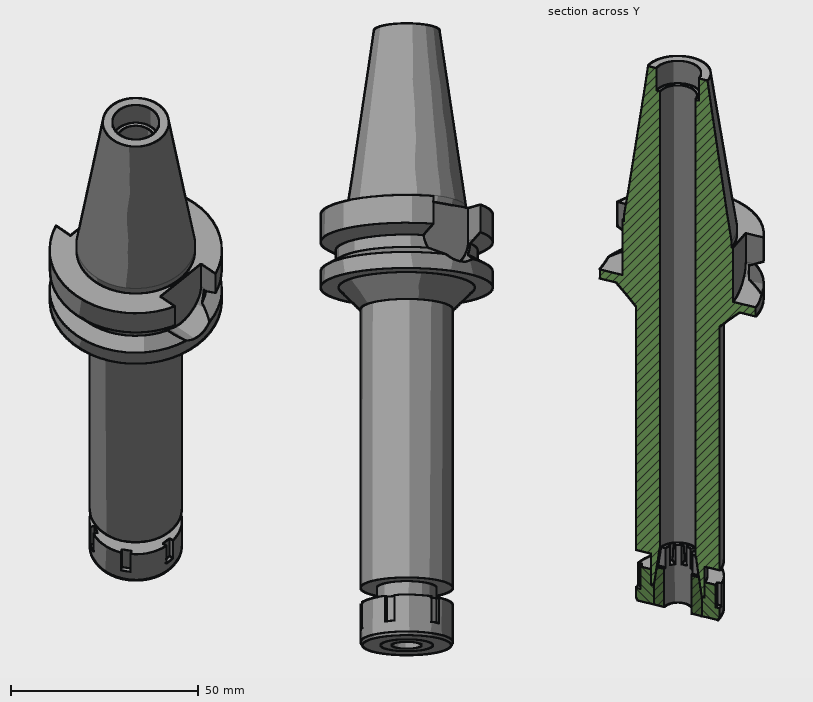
import cadquery as cq
import math


gauge_diameter = 31.75
taper_length = 48.4
taper_ratio = 7 / 24
taper_top_diameter = gauge_diameter - taper_ratio * taper_length

flange_diameter = 46.0
flange_top = -2.0
groove_diameter = 38.0
groove_upper_edge = -9.6
groove_floor_top = -11.9
groove_floor_bottom = -15.3
groove_lower_edge = -17.6
flange_bottom = -22.0

notch_width = 16.0
notch_floor_offset = 16.3
notch_bottom = -19.0

cone_top_diameter = 36.4
cone_bottom = -28.0
body_diameter = 24.7
body_bottom = -104.3
nose_diameter = 16.0
nose_bottom = -114.0

counterbore_diameter = 12.5
counterbore_depth = 7.0
through_bore_diameter = 10.3

collet_angle = 8.0
collet_front_diameter = 14.0
collet_rear_diameter = 10.6
collet_bore_diameter = 8.0
collet_slot_count = 8
collet_slot_width = 1.5
collet_slot_depth = 6.0
collet_cone_length = (collet_front_diameter - collet_rear_diameter) / 2 / math.tan(math.radians(collet_angle))
collet_rear = nose_bottom + collet_cone_length

nut_diameter = body_diameter
nut_top = -109.0
nut_bottom = -120.0
nut_chamfer_width = 0.5
nut_chamfer_height = 0.9
wrench_slot_count = 6
wrench_slot_width = 2.6
wrench_slot_depth = 1.25
wrench_slot_length = 7.0


def revolve(points):
    """Turn a closed outline of (diameter, Z) points about the Z axis."""
    outline = [(diameter / 2, z) for diameter, z in points]
    return cq.Workplane("YZ").polyline(outline).close().revolve(360, (0, 0), (0, 1))


def notch_cutter():
    """Round-bottomed key notch on the +X side of the flange."""
    radius = notch_width / 2
    arc_center = notch_bottom + radius
    return (
        cq.Workplane("YZ", origin=(notch_floor_offset, 0, 0))
        .moveTo(-radius, flange_top)
        .lineTo(-radius, arc_center)
        .threePointArc((0, notch_bottom), (radius, arc_center))
        .lineTo(radius, flange_top)
        .close()
        .extrude(flange_diameter / 2)
    )


def make_holder():
    counterbore_bottom = taper_length - counterbore_depth
    holder = revolve([
        (taper_top_diameter, taper_length),
        (gauge_diameter, 0),
        (gauge_diameter, flange_top),
        (flange_diameter, flange_top),
        (flange_diameter, groove_upper_edge),
        (groove_diameter, groove_floor_top),
        (groove_diameter, groove_floor_bottom),
        (flange_diameter, groove_lower_edge),
        (flange_diameter, flange_bottom),
        (cone_top_diameter, flange_bottom),
        (body_diameter, cone_bottom),
        (body_diameter, body_bottom),
        (nose_diameter, body_bottom),
        (nose_diameter, nose_bottom),
        (collet_front_diameter, nose_bottom),
        (collet_rear_diameter, collet_rear),
        (through_bore_diameter, collet_rear),
        (through_bore_diameter, counterbore_bottom),
        (counterbore_diameter, counterbore_bottom),
        (counterbore_diameter, taper_length),
    ])
    for angle in (0, 180):
        holder = holder.cut(notch_cutter().rotate((0, 0, 0), (0, 0, 1), angle))
    return holder


def make_nut():
    nut = revolve([
        (nose_diameter, nut_top),
        (nut_diameter, nut_top),
        (nut_diameter, nut_bottom + nut_chamfer_height),
        (nut_diameter - 2 * nut_chamfer_width, nut_bottom),
        (collet_front_diameter, nut_bottom),
        (collet_front_diameter, nose_bottom),
        (nose_diameter, nose_bottom),
    ])
    slots = (
        cq.Workplane("XY", origin=(0, 0, nut_top))
        .polarArray(nut_diameter / 2, 0, 360, wrench_slot_count)
        .rect(2 * wrench_slot_depth, wrench_slot_width)
        .extrude(-wrench_slot_length)
    )
    return nut.cut(slots)


def make_collet():
    collet = revolve([
        (collet_bore_diameter, collet_rear),
        (collet_rear_diameter, collet_rear),
        (collet_front_diameter, nose_bottom),
        (collet_front_diameter, nut_bottom),
        (collet_bore_diameter, nut_bottom),
    ])
    slots = (
        cq.Workplane("XY", origin=(0, 0, collet_rear))
        .polarArray(collet_front_diameter / 2, 0, 360, collet_slot_count)
        .rect(collet_front_diameter, collet_slot_width)
        .extrude(-collet_slot_depth)
    )
    return collet.cut(slots)


holder = make_holder()
nut = make_nut()
collet = make_collet()

result = cq.Compound.makeCompound([holder.val(), nut.val(), collet.val()])